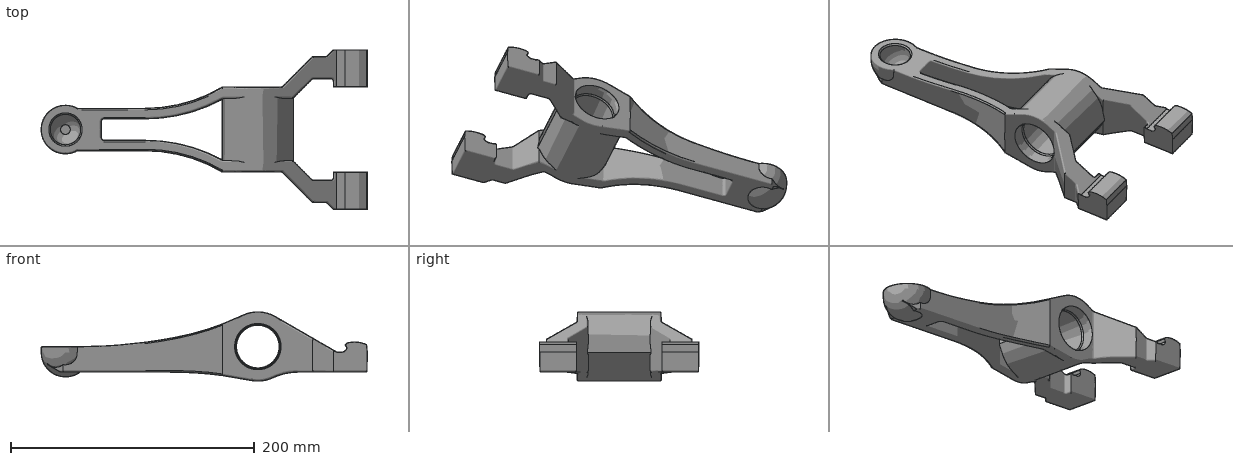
import cadquery as cq
import math

PARTING_Z = -5.0
DRAFT_ANGLE = 1.0
FLOOR_Z = -21.0
LOWER_EDGE_RADIUS = 1.5
UPPER_EDGE_RADIUS = 1.2
CLEARANCE = 10.0
POSITION_TOLERANCE = 0.01
UPRIGHT_WALL_LIMIT = 0.3
LOWER_EDGE_LIMIT_Z = -19.0

BARREL_RADIUS = 28.5
BARREL_HALF_WIDTH = 29.4
BORE_RADIUS = 17.5
COUNTERBORE_RADIUS = 18.2
COUNTERBORE_DEPTH = 9.5
COUNTERBORE_STEP_LENGTH = 1.5
BORE_MOUTH_RADIUS = 19.1
BORE_MOUTH_DEPTH = 3.0

CUP_X = -158.0
CUP_RADIUS = 20.0
CUP_TOP_Z = 0.0
SOCKET_RADIUS = 12.5
SOCKET_LIP = 1.2
DIMPLE_RADIUS = 4.0
DIMPLE_DEPTH = 13.0

LEVER_START_X = -160.0
PROW_X = -173.0
PROW_HALF_WIDTH = 10.0
PROW_BEVEL = 30.0
PROW_BEVEL_START_X = -162.0
LEVER_HALF_WIDTH = 17.5
LEVER_WALL = 8.75
SLOT_START_X = -128.4
FLARE_START_X = -92.5
CHEEK_START_X = -29.0
CHEEK_HALF_WIDTH = 35.0
CHEEK_WALL = 9.8

RISE_START_X = -144.5
RISE_MID_Z = 3.6
RISE_END_Z = 18.6
SAG_START_X = -92.0
SAG_END_Z = -23.9
FORK_SLOPE = 30.0
RUNOUT_ANGLE = 25.0
GROOVE_Z = -4.5

SPLAY_START_X = 20.0
FORK_OUTER_Y = 60.0
FORK_INNER_Y = 41.6
FORK_KNEE_X = 44.8
PAD_START_X = 62.0
PAD_END_X = 90.0
PAD_OUTER_Y = 65.5
PAD_INNER_Y = 35.0
PLAN_FILLET = 2.0

NOSE_FOOT_X = 69.3
NOSE_FOOT_MID = (71.9, -3.3)
NOSE_WAIST = (73.0, -1.0)
NOSE_LIP = (71.8, 1.3)
NOSE_SHOULDER = (73.0, 2.6)
NOSE_CROWN_START = (75.8, 3.5)
NOSE_CROWN = (82.5, 3.6)
NOSE_END = (89.4, 1.6)


def boss_point(angle):
    """Point (x, z) on the barrel circle at an angle in degrees from +X."""
    a = math.radians(angle)
    return BARREL_RADIUS * math.cos(a), BARREL_RADIUS * math.sin(a)


def tangent_angle(x, z, side):
    """Angle of the barrel point where the tangent from (x, z) touches; side is +1 or -1."""
    toward_point = math.degrees(math.atan2(z, x))
    spread = math.degrees(math.acos(BARREL_RADIUS / math.hypot(x, z)))
    return toward_point + side * spread


def circle_through(x_start, x_end, rise):
    """Radius of the arc that leaves the X direction at x_start and climbs by rise at x_end."""
    return ((x_end - x_start) ** 2 + rise ** 2) / (2 * rise)


def arc_height(x_from_start, radius):
    """Height of such an arc at a distance from its start."""
    return radius - math.sqrt(radius ** 2 - x_from_start ** 2)


def is_listed(vertex, corners):
    """True where a vertex, or its mirror image across the X axis, is one of the corners."""
    return any(math.hypot(vertex.X - x, abs(vertex.Y) - y) < POSITION_TOLERANCE for x, y in corners)


def plan_outline():
    """Closed fork-shaped outline in the parting plane, its inside corners rounded."""
    flare_radius = circle_through(FLARE_START_X, CHEEK_START_X, CHEEK_HALF_WIDTH - LEVER_HALF_WIDTH)
    flare_center_y = LEVER_HALF_WIDTH + flare_radius
    inner_radius = flare_radius + LEVER_WALL
    slot_y = LEVER_HALF_WIDTH - LEVER_WALL
    cheek_inner_y = CHEEK_HALF_WIDTH - CHEEK_WALL
    inner_run = math.sqrt(inner_radius ** 2 - (flare_center_y - cheek_inner_y) ** 2)
    flare_mid = (CHEEK_START_X - FLARE_START_X) / 2
    inner_mid = inner_run / 2

    slot_corner = (SLOT_START_X, slot_y)
    inner_flare_end = (FLARE_START_X + inner_run, cheek_inner_y)
    splay_start = (SPLAY_START_X, CHEEK_HALF_WIDTH)
    splay_end = (SPLAY_START_X + FORK_OUTER_Y - CHEEK_HALF_WIDTH, FORK_OUTER_Y)
    pad_flare_start = (PAD_START_X - (PAD_OUTER_Y - FORK_OUTER_Y), FORK_OUTER_Y)
    pad_step = (PAD_START_X, FORK_INNER_Y)
    inner_knee = (FORK_KNEE_X, FORK_INNER_Y)
    crotch = (FORK_KNEE_X - (FORK_INNER_Y - cheek_inner_y), cheek_inner_y)

    outline = (
        cq.Workplane("XY", origin=(0, 0, PARTING_Z))
        .moveTo(PROW_X, 0)
        .lineTo(PROW_X, PROW_HALF_WIDTH)
        .lineTo(LEVER_START_X, LEVER_HALF_WIDTH)
        .lineTo(FLARE_START_X, LEVER_HALF_WIDTH)
        .threePointArc(
            (FLARE_START_X + flare_mid, LEVER_HALF_WIDTH + arc_height(flare_mid, flare_radius)),
            (CHEEK_START_X, CHEEK_HALF_WIDTH),
        )
        .lineTo(*splay_start)
        .lineTo(*splay_end)
        .lineTo(*pad_flare_start)
        .lineTo(PAD_START_X, PAD_OUTER_Y)
        .lineTo(PAD_END_X, PAD_OUTER_Y)
        .lineTo(PAD_END_X, PAD_INNER_Y)
        .lineTo(PAD_START_X, PAD_INNER_Y)
        .lineTo(*pad_step)
        .lineTo(*inner_knee)
        .lineTo(*crotch)
        .lineTo(*inner_flare_end)
        .threePointArc(
            (FLARE_START_X + inner_mid, slot_y + arc_height(inner_mid, inner_radius)),
            (FLARE_START_X, slot_y),
        )
        .lineTo(*slot_corner)
        .lineTo(SLOT_START_X, 0)
        .mirrorX()
        .val()
    )
    inside_corners = [slot_corner, inner_flare_end, splay_start, pad_flare_start, pad_step, inner_knee]
    rounded = [v for v in outline.Vertices() if is_listed(v, inside_corners)]
    return outline.fillet2D(PLAN_FILLET, rounded)


def side_profile():
    """Side outline of lever, cheeks and fork, extruded across the full width."""
    top_left = boss_point(tangent_angle(CHEEK_START_X, RISE_END_Z, -1))
    top_right = boss_point(90 - FORK_SLOPE)
    bottom_left = boss_point(tangent_angle(CHEEK_START_X, SAG_END_Z, 1))
    bottom_right = boss_point(RUNOUT_ANGLE - 90)

    slope = math.radians(FORK_SLOPE)
    groove_x = top_right[0] + (top_right[1] - GROOVE_Z) / math.tan(slope)
    runout = math.radians(RUNOUT_ANGLE)
    runout_radius = (FLOOR_Z - bottom_right[1]) / (1 - math.cos(runout))
    runout_end_x = bottom_right[0] + runout_radius * math.sin(runout)
    runout_mid = runout_radius * math.sin(runout / 2)
    start_x = PROW_X - CLEARANCE
    bevel_rise = (PROW_BEVEL_START_X - start_x) * math.tan(math.radians(PROW_BEVEL))
    end_x = PAD_END_X + CLEARANCE

    rise = [(RISE_START_X, CUP_TOP_Z), (FLARE_START_X, RISE_MID_Z), (CHEEK_START_X, RISE_END_Z), top_left]
    sag = [bottom_left, (CHEEK_START_X, SAG_END_Z), (SAG_START_X, FLOOR_Z)]
    rise_end_tangent = (top_left[1], -top_left[0])
    sag_start_tangent = (bottom_left[1], -bottom_left[0])

    return (
        cq.Workplane("XZ")
        .moveTo(start_x, CUP_TOP_Z)
        .lineTo(*rise[0])
        .spline(rise[1:], tangents=[(1, 0), rise_end_tangent], includeCurrent=True)
        .threePointArc(boss_point(90), top_right)
        .lineTo(groove_x, GROOVE_Z)
        .lineTo(end_x, GROOVE_Z)
        .lineTo(end_x, FLOOR_Z)
        .lineTo(runout_end_x, FLOOR_Z)
        .threePointArc(
            (runout_end_x - runout_mid, FLOOR_Z - arc_height(runout_mid, runout_radius)),
            bottom_right,
        )
        .threePointArc(boss_point(-90), bottom_left)
        .spline(sag[1:], tangents=[sag_start_tangent, (-1, 0)], includeCurrent=True)
        .lineTo(PROW_BEVEL_START_X, FLOOR_Z)
        .lineTo(start_x, FLOOR_Z + bevel_rise)
        .close()
        .extrude(PAD_OUTER_Y + CLEARANCE, both=True)
    )


def drafted_block():
    """The plan outline drawn up and down from the parting plane with draft."""
    reach = BARREL_RADIUS + CLEARANCE
    upper = cq.Workplane("XY").add(plan_outline()).toPending().extrude(reach, taper=DRAFT_ANGLE)
    lower = upper.mirror("XY", (0, 0, PARTING_Z))
    return upper.union(lower)


def outer_edges(blank):
    """Edges between the near-vertical walls and the upper or lower surfaces."""
    neighbours = {}
    for face in blank.faces().vals():
        if abs(face.normalAt().z) > UPRIGHT_WALL_LIMIT:
            for edge in face.Edges():
                neighbours.setdefault(edge.hashCode(), []).append(edge)
    return [found[0] for found in neighbours.values() if len(found) == 1]


def is_clear_of_ends(x):
    """True between the prow under the cup and the pads, where the upper edges are rounded."""
    return LEVER_START_X < x < PAD_START_X + POSITION_TOLERANCE


def forging_blank():
    """Lever, cheeks and fork arms as one drafted fork with its outline edges rounded."""
    sharp = drafted_block().intersect(side_profile())
    outline_edges = outer_edges(sharp)
    lower = [e for e in outline_edges if e.Center().z < LOWER_EDGE_LIMIT_Z]
    upper = [e for e in outline_edges if e not in lower and is_clear_of_ends(e.Center().x)]
    rounded_below = sharp.newObject(lower).fillet(LOWER_EDGE_RADIUS)
    return rounded_below.newObject(upper).fillet(UPPER_EDGE_RADIUS)


def barrel():
    """Barrel between the cheeks, its flanks drawn out tangentially to a ridge at the parting plane."""
    half_length = CHEEK_HALF_WIDTH - CHEEK_WALL / 2
    above = boss_point(tangent_angle(BARREL_HALF_WIDTH, PARTING_Z, 1))
    below = boss_point(tangent_angle(BARREL_HALF_WIDTH, PARTING_Z, -1))
    return (
        cq.Workplane("XZ", origin=(0, half_length, 0))
        .moveTo(*above)
        .threePointArc(boss_point(90), (-above[0], above[1]))
        .lineTo(-BARREL_HALF_WIDTH, PARTING_Z)
        .lineTo(-below[0], below[1])
        .threePointArc(boss_point(-90), below)
        .lineTo(BARREL_HALF_WIDTH, PARTING_Z)
        .close()
        .extrude(2 * half_length)
    )


def cup():
    """Hemispherical cup with a short cylindrical rim rising from the parting plane."""
    rim_height = CUP_TOP_Z - PARTING_Z
    rim = (
        cq.Workplane("XY", origin=(CUP_X, 0, PARTING_Z))
        .circle(CUP_RADIUS)
        .extrude(rim_height)
        .faces(">Z")
        .edges()
        .fillet(UPPER_EDGE_RADIUS)
    )
    ball = cq.Workplane("XY").sphere(CUP_RADIUS, angle2=0).translate((CUP_X, 0, PARTING_Z))
    return rim.union(ball)


def socket():
    """Round-bottomed socket with a bevelled mouth and a small dimple in its floor."""
    rim_height = CUP_TOP_Z - PARTING_Z
    floor_z = -math.sqrt(SOCKET_RADIUS ** 2 - DIMPLE_RADIUS ** 2)
    side = math.sqrt(0.5) * SOCKET_RADIUS
    return (
        cq.Workplane("XZ", origin=(CUP_X, 0, PARTING_Z))
        .moveTo(0, -DIMPLE_DEPTH)
        .lineTo(DIMPLE_RADIUS, -DIMPLE_DEPTH)
        .lineTo(DIMPLE_RADIUS, floor_z)
        .threePointArc((side, -side), (SOCKET_RADIUS, 0))
        .lineTo(SOCKET_RADIUS, rim_height - SOCKET_LIP)
        .lineTo(SOCKET_RADIUS + SOCKET_LIP, rim_height)
        .lineTo(0, rim_height)
        .close()
        .revolve(360, (0, 0), (0, 1))
    )


def pad_nose():
    """Crowned nose on the +Y pad, undercut where it faces the groove."""
    return (
        cq.Workplane("XZ", origin=(0, PAD_OUTER_Y, 0))
        .moveTo(NOSE_FOOT_X, PARTING_Z)
        .lineTo(NOSE_FOOT_X, GROOVE_Z)
        .threePointArc(NOSE_FOOT_MID, NOSE_WAIST)
        .lineTo(*NOSE_LIP)
        .threePointArc(NOSE_SHOULDER, NOSE_CROWN_START)
        .threePointArc(NOSE_CROWN, NOSE_END)
        .lineTo(PAD_END_X, PARTING_Z)
        .close()
        .extrude(PAD_OUTER_Y - PAD_INNER_Y)
    )


def bore():
    """Through bore with a shallow counterbore and a tapered mouth at each end."""
    counterbore_y = CHEEK_HALF_WIDTH - COUNTERBORE_DEPTH
    mouth_y = CHEEK_HALF_WIDTH - BORE_MOUTH_DEPTH
    half = (
        cq.Workplane("XY")
        .moveTo(0, 0)
        .lineTo(BORE_RADIUS, 0)
        .lineTo(BORE_RADIUS, counterbore_y - COUNTERBORE_STEP_LENGTH)
        .lineTo(COUNTERBORE_RADIUS, counterbore_y)
        .lineTo(COUNTERBORE_RADIUS, mouth_y)
        .lineTo(BORE_MOUTH_RADIUS, CHEEK_HALF_WIDTH)
        .lineTo(0, CHEEK_HALF_WIDTH)
        .close()
        .revolve(360, (0, 0), (0, 1))
    )
    return half.union(half.mirror("XZ"))


def rocker_arm():
    nose = pad_nose()
    arm = forging_blank().union(barrel()).union(cup())
    arm = arm.union(nose).union(nose.mirror("XZ"))
    return arm.cut(socket()).cut(bore())


result = rocker_arm()